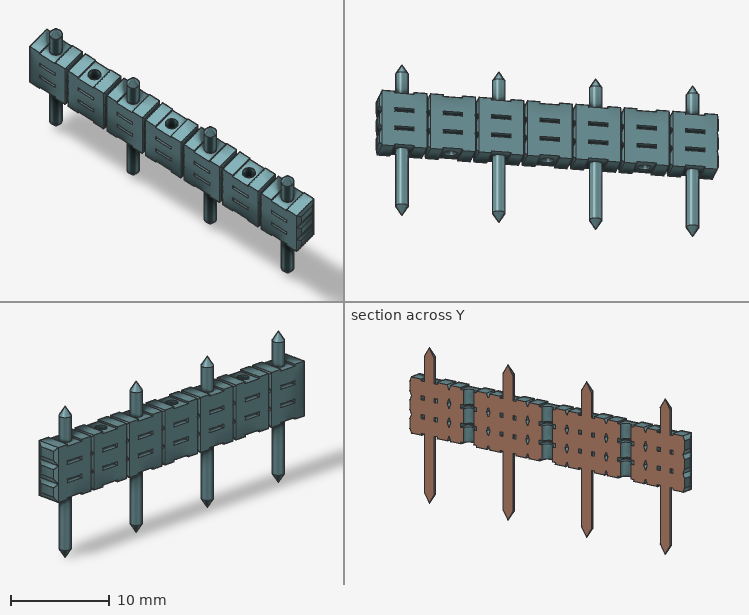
import cadquery as cq

row_length = 35.0
block_count = 7
pitch = row_length / block_count
depth = 2.8
block_height = 6.0

tiers = 3
tier_height = block_height / tiers
pyramid_height = 0.2
pyramid_inset = 0.5
block_width = pitch - 2 * pyramid_height

slot_width = 2.0
slot_height = 0.4

pin_diameter = 1.3
pin_above = 3.5
pin_below = 7.0
tip_length = 1.0


def end_pyramid(side, z_center):
    """Truncated pyramid on the +X (side=1) or -X (side=-1) face of a block at the origin."""
    base_plane = cq.Plane(
        origin=(side * block_width / 2, 0, z_center), xDir=(0, 1, 0), normal=(side, 0, 0)
    )
    return (
        cq.Workplane(base_plane)
        .rect(depth, tier_height)
        .workplane(offset=pyramid_height)
        .rect(depth - 2 * pyramid_inset, tier_height - 2 * pyramid_inset)
        .loft(ruled=True)
    )


def make_block():
    """Slotted block centred on the origin, with its end pyramids."""
    block = cq.Workplane("XY").box(block_width, depth, block_height)
    for boundary in range(tiers + 1):
        z = boundary * tier_height - block_height / 2
        slot = cq.Workplane("XY").box(slot_width, depth, slot_height).translate((0, 0, z))
        block = block.cut(slot)
    for tier in range(tiers):
        z = (tier + 0.5) * tier_height - block_height / 2
        for side in (-1, 1):
            block = block.union(end_pyramid(side, z))
    return block


def make_pin():
    """Pin along Z with a conical point at each end."""
    radius = pin_diameter / 2
    top = block_height / 2 + pin_above
    bottom = -block_height / 2 - pin_below
    return (
        cq.Workplane("XZ")
        .moveTo(0, bottom)
        .lineTo(radius, bottom + tip_length)
        .lineTo(radius, top - tip_length)
        .lineTo(0, top)
        .close()
        .revolve(360, (0, 0, 0), (0, 1, 0))
    )


def make_bore():
    """Cylinder that opens a block from top to bottom."""
    return cq.Workplane("XY").cylinder(block_height, pin_diameter / 2)


plain_block = make_block()
pinned_block = plain_block.union(make_pin())
bored_block = plain_block.cut(make_bore())

result = cq.Workplane("XY")
for index in range(block_count):
    x = (index - (block_count - 1) / 2) * pitch
    block = pinned_block if index % 2 == 0 else bored_block
    result = result.add(block.translate((x, 0, 0)))
result = result.combine()